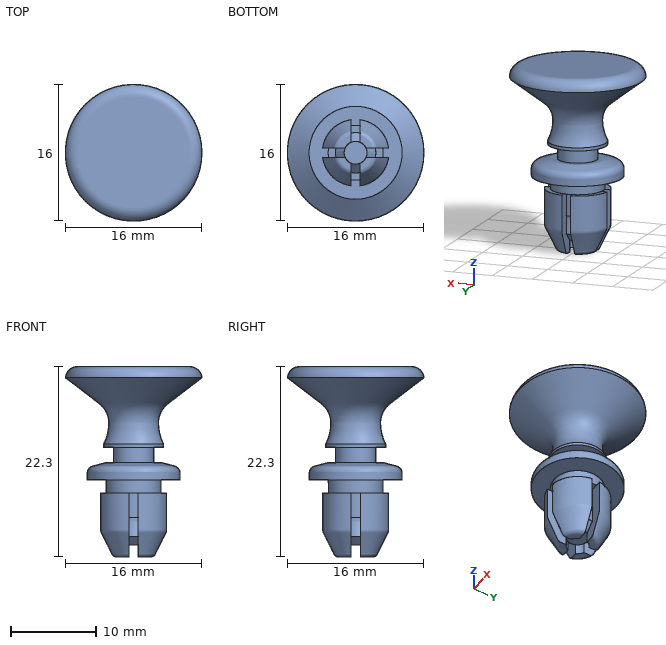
import cadquery as cq


overall_height = 22.3
knob_radius = 8.0
knob_flat_radius = 6.53
knob_rim_z = 20.98
knob_edge_radius = 1.47
cone_bottom_radius = 4.04
cone_bottom_z = 17.95
waist_radius = 2.92
waist_z = 15.7
lip_radius = 3.52
lip_top_z = 13.2
lip_bottom_z = 12.82

stem_radius = 2.36
stem_bottom_z = 4.62
groove_radius = 2.0
groove_bottom_z = 4.15
tip_shoulder_z = 2.43
tip_bottom_z = 1.4
tip_bottom_radius = stem_radius - (tip_shoulder_z - tip_bottom_z)

flange_radius = 5.45
flange_bottom_z = 9.03
flange_edge_z = 9.9
flange_bevel_radius = 4.85
flange_bevel_z = 10.64
flange_round_radius = 0.9
flange_top_radius = 3.25
flange_top_z = 11.05

neck_radius = 3.21
finger_radius = 3.9
finger_top_z = 7.47
finger_straight_z = 3.21
taper_top_radius = 3.81
taper_top_z = 2.83
taper_bottom_radius = 2.63
taper_bottom_z = 0.45
finger_end_radius = 2.1
finger_end_round_radius = 0.62
slot_width = 1.07


def arc_middle(start, end, radius):
    """Middle point of the minor arc from start to end, bulging left of that direction."""
    chord_x = end[0] - start[0]
    chord_z = end[1] - start[1]
    chord = (chord_x**2 + chord_z**2) ** 0.5
    rise = radius - (radius**2 - chord**2 / 4) ** 0.5
    middle_x = (start[0] + end[0]) / 2 - chord_z / chord * rise
    middle_z = (start[1] + end[1]) / 2 + chord_x / chord * rise
    return middle_x, middle_z


def revolve_about_z(profile):
    """Spin a closed radius-height profile about the Z axis."""
    return profile.close().revolve(360, (0, 0, 0), (0, 1, 0))


def make_pin():
    knob_edge_start = (knob_flat_radius, overall_height)
    knob_rim = (knob_radius, knob_rim_z)
    profile = (
        cq.Workplane("XZ")
        .moveTo(0, overall_height)
        .lineTo(*knob_edge_start)
        .threePointArc(arc_middle(knob_edge_start, knob_rim, knob_edge_radius), knob_rim)
        .lineTo(cone_bottom_radius, cone_bottom_z)
        .tangentArcPoint((waist_radius, waist_z), relative=False)
        .tangentArcPoint((lip_radius, lip_top_z), relative=False)
        .lineTo(lip_radius, lip_bottom_z)
        .lineTo(stem_radius, lip_bottom_z)
        .lineTo(stem_radius, stem_bottom_z)
        .lineTo(groove_radius, stem_bottom_z)
        .lineTo(groove_radius, groove_bottom_z)
        .lineTo(stem_radius, tip_shoulder_z)
        .lineTo(tip_bottom_radius, tip_bottom_z)
        .lineTo(0, tip_bottom_z)
    )
    return revolve_about_z(profile)


def make_sleeve_blank():
    """Flange, neck and tapered fingers around a bore that closes in below the pin tip."""
    flange_bevel = (flange_bevel_radius, flange_bevel_z)
    flange_edge = (flange_radius, flange_edge_z)
    taper_bottom = (taper_bottom_radius, taper_bottom_z)
    finger_end = (finger_end_radius, 0)
    profile = (
        cq.Workplane("XZ")
        .moveTo(stem_radius, flange_top_z)
        .lineTo(flange_top_radius, flange_top_z)
        .lineTo(*flange_bevel)
        .threePointArc(arc_middle(flange_bevel, flange_edge, flange_round_radius), flange_edge)
        .lineTo(flange_radius, flange_bottom_z)
        .lineTo(neck_radius, flange_bottom_z)
        .lineTo(neck_radius, finger_top_z)
        .lineTo(finger_radius, finger_top_z)
        .lineTo(finger_radius, finger_straight_z)
        .tangentArcPoint((taper_top_radius, taper_top_z), relative=False)
        .lineTo(*taper_bottom)
        .threePointArc(arc_middle(taper_bottom, finger_end, finger_end_round_radius), finger_end)
        .lineTo(tip_bottom_radius, 0)
        .lineTo(tip_bottom_radius, tip_bottom_z)
        .lineTo(stem_radius, tip_shoulder_z)
    )
    return revolve_about_z(profile)


def make_slot(angle):
    """Slot through the whole finger section, open at the bottom."""
    return (
        cq.Workplane("XY")
        .box(2 * flange_radius, slot_width, finger_top_z, centered=(True, True, False))
        .rotate((0, 0, 0), (0, 0, 1), angle)
    )


def make_sleeve():
    sleeve = make_sleeve_blank()
    for angle in (0, 90):
        sleeve = sleeve.cut(make_slot(angle))
    return sleeve


pin = make_pin()
sleeve = make_sleeve()

result = cq.Compound.makeCompound([pin.val(), sleeve.solids().val()])